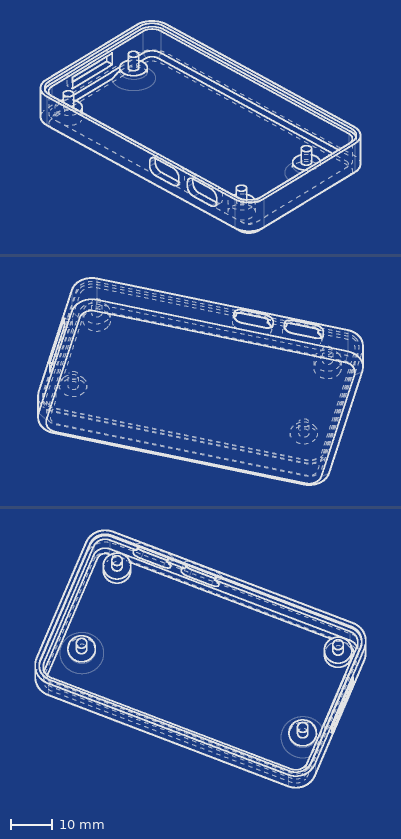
import cadquery as cq

length = 73.0
width = 42.2
height = 10.5
corner_radius = 5.05
bottom_chamfer = 2.0

wall = 2.0
floor_thickness = 2.0
floor_edge_chamfer = 1.0
lip_thickness = 1.0
rebate_depth = 1.0

standoff_center_x = -1.0
standoff_spacing_x = 57.95
rear_standoff_y = 7.95
front_standoff_y = -15.05
standoff_diameter = 6.7
standoff_top = 5.0
standoff_flare = 2.0
pin_diameter = 2.55
pin_top = 9.0

button_centers_x = (7.9, 20.5)
button_length = 9.8
button_bottom = 4.7
button_top = 9.8
button_corner_radius = 2.0

port_center_y = -1.75
port_length = 14.1
port_bottom = 5.1
port_top = 8.5


def rounded_block(inset, bottom, top):
    """Block inset evenly from the outer outline, with concentric corners."""
    return (
        cq.Workplane("XY")
        .workplane(offset=bottom)
        .rect(length - 2 * inset, width - 2 * inset)
        .extrude(top - bottom)
        .edges("|Z")
        .fillet(corner_radius - inset)
    )


def shell():
    outside = rounded_block(0, 0, height).faces("<Z").chamfer(bottom_chamfer)
    cavity = rounded_block(wall, floor_thickness, height).faces("<Z").chamfer(floor_edge_chamfer)
    rebate = rounded_block(lip_thickness, height - rebate_depth, height)
    return outside.cut(cavity).cut(rebate)


def standoff(x, y, flared):
    """Round standoff and pin, optionally with a concave flare onto the floor."""
    radius = standoff_diameter / 2
    pin_radius = pin_diameter / 2
    root = floor_thickness / 2
    profile = cq.Workplane("XZ").moveTo(0, root)
    if flared:
        arc_reach = standoff_flare * (1 - 0.5**0.5)
        profile = (
            profile.lineTo(radius + standoff_flare, root)
            .lineTo(radius + standoff_flare, floor_thickness)
            .threePointArc(
                (radius + arc_reach, floor_thickness + arc_reach),
                (radius, floor_thickness + standoff_flare),
            )
        )
    else:
        profile = profile.lineTo(radius, root)
    return (
        profile.lineTo(radius, standoff_top)
        .lineTo(pin_radius, standoff_top)
        .lineTo(pin_radius, pin_top)
        .lineTo(0, pin_top)
        .close()
        .revolve(360, (0, 0, 0), (0, 1, 0))
        .translate((x, y, 0))
    )


def button_opening(center_x):
    return (
        cq.Workplane("XY")
        .box(button_length, 2 * wall, button_top - button_bottom)
        .edges("|Y")
        .fillet(button_corner_radius)
        .translate((center_x, -width / 2, (button_bottom + button_top) / 2))
    )


def port_opening():
    return (
        cq.Workplane("XY")
        .box(2 * wall, port_length, port_top - port_bottom)
        .translate((-length / 2, port_center_y, (port_bottom + port_top) / 2))
    )


result = shell()
for side in (-1, 1):
    x = standoff_center_x + side * standoff_spacing_x / 2
    result = result.union(standoff(x, rear_standoff_y, flared=True))
    result = result.union(standoff(x, front_standoff_y, flared=False))
for center_x in button_centers_x:
    result = result.cut(button_opening(center_x))
result = result.cut(port_opening())